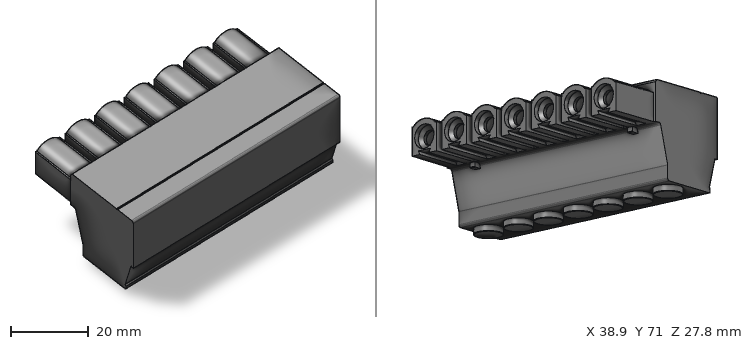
import cadquery as cq
import math

POLES = 7
PITCH = 10.16
BODY_LENGTH = 70.96
BODY_BACK_X = 38.9
BODY_TOP_Z = 27.8
PLUG_LENGTH = 14.65
POLE_POSITIONS = [(i - (POLES - 1) / 2) * PITCH for i in range(POLES)]

BODY_FRONT_X = PLUG_LENGTH
LEDGE_Z = 16.56
BASE_Z = 1.75
BASE_FRONT_X = 19.35
BASE_BACK_X = 36.05
FRONT_SLOPE_TOP_X = 16.45
FRONT_SLOPE_BOTTOM_Z = 5.9
LEDGE_FILLET = 0.8
BACK_STEP_Z = 11.27
BACK_SLOPE_TOP_X = 37.95
LIP_TOP_Z = 2.8
LIP_SLOPE_Z = 3.3
LIP_DEPTH = 0.3
TOP_CHAMFER_HEIGHT = 0.7
TOP_CHAMFER_WIDTH = 0.5
EDGE_FILLET = 0.65
BASE_BACK_FILLET = 0.3

GROOVE_FRONT_X = 32.4
GROOVE_WIDTH = 0.5
GROOVE_DEPTH = 0.25

SHOULDER_Z = 24.34
BORE_Z = 21.18
DOME_HALF_WIDTH = 3.72
DOME_TOP_Z = 25.93
TIP_HALF_WIDTH = 4.16
SIDE_DRAFT = 0.5
ENTRY_RADIUS = 3.25
ENTRY_DEPTH = 1.5
BORE_RADIUS = 2.0
CONE_LENGTH = 0.7
BORE_DEPTH = 3.2
KEYWAY_HEIGHT = 1.04
KEYWAY_TOP_WIDTH = 4.0
KEYWAY_BOTTOM_WIDTH = 3.05

SCREW_X = 25.26
SCREW_RADIUS = 3.87
SCREW_CHAMFER = 0.15

TAB_Y = 26.77
TAB_WIDTH = 1.65
TAB_BOTTOM_Z = 15.15
TAB_BACK_X = 18.0
TAB_CHAMFER = 0.2


def housing():
    profile = (
        cq.Workplane("XZ", origin=(0, BODY_LENGTH / 2, 0))
        .moveTo(BODY_FRONT_X, LEDGE_Z)
        .lineTo(BODY_FRONT_X, BODY_TOP_Z - TOP_CHAMFER_HEIGHT)
        .lineTo(BODY_FRONT_X + TOP_CHAMFER_WIDTH, BODY_TOP_Z)
        .lineTo(BODY_BACK_X, BODY_TOP_Z)
        .lineTo(BODY_BACK_X, BACK_STEP_Z)
        .lineTo(BACK_SLOPE_TOP_X, BACK_STEP_Z)
        .lineTo(BASE_BACK_X - LIP_DEPTH, LIP_SLOPE_Z)
        .lineTo(BASE_BACK_X, LIP_TOP_Z)
        .lineTo(BASE_BACK_X, BASE_Z)
        .lineTo(BASE_FRONT_X, BASE_Z)
        .lineTo(BASE_FRONT_X, FRONT_SLOPE_BOTTOM_Z)
        .lineTo(FRONT_SLOPE_TOP_X, LEDGE_Z)
        .close()
    )
    body = profile.extrude(BODY_LENGTH)
    rounded_corners = [
        (FRONT_SLOPE_TOP_X, LEDGE_Z, LEDGE_FILLET),
        (BODY_BACK_X, BODY_TOP_Z, EDGE_FILLET),
        (BASE_FRONT_X, BASE_Z, EDGE_FILLET),
        (BASE_BACK_X, BASE_Z, BASE_BACK_FILLET),
    ]
    for x, z, radius in rounded_corners:
        corner = cq.selectors.NearestToPointSelector((x, 0, z))
        body = body.edges(corner).fillet(radius)
    return body


def top_groove():
    """Groove with an upright front wall and a floor that rises towards the back."""
    return (
        cq.Workplane("XZ", origin=(0, BODY_LENGTH / 2, 0))
        .moveTo(GROOVE_FRONT_X, BODY_TOP_Z)
        .lineTo(GROOVE_FRONT_X + GROOVE_WIDTH, BODY_TOP_Z)
        .lineTo(GROOVE_FRONT_X, BODY_TOP_Z - GROOVE_DEPTH)
        .close()
        .extrude(BODY_LENGTH)
    )


def along_x(y):
    """Workplane on the plug tip: local x is +Y, local y is +Z, extruding towards +X."""
    return cq.Workplane("YZ", origin=(0, y, 0))


def plug(y):
    root_half_width = TIP_HALF_WIDTH + PLUG_LENGTH * math.tan(math.radians(SIDE_DRAFT))
    block = (
        cq.Workplane("XY", origin=(0, y, LEDGE_Z))
        .polyline([
            (0, -TIP_HALF_WIDTH),
            (PLUG_LENGTH, -root_half_width),
            (PLUG_LENGTH, root_half_width),
            (0, TIP_HALF_WIDTH),
        ])
        .close()
        .extrude(SHOULDER_Z - LEDGE_Z)
    )
    dome = (
        along_x(y)
        .moveTo(-DOME_HALF_WIDTH, SHOULDER_Z)
        .threePointArc((0, DOME_TOP_Z), (DOME_HALF_WIDTH, SHOULDER_Z))
        .close()
        .extrude(PLUG_LENGTH)
    )
    return block.union(dome)


def plug_bore(y):
    cone_end = ENTRY_DEPTH + CONE_LENGTH
    return (
        cq.Workplane("XY")
        .polyline([
            (0, 0),
            (0, ENTRY_RADIUS),
            (ENTRY_DEPTH, ENTRY_RADIUS),
            (cone_end, BORE_RADIUS),
            (BORE_DEPTH, BORE_RADIUS),
            (BORE_DEPTH, 0),
        ])
        .close()
        .revolve(360, (0, 0, 0), (1, 0, 0))
        .translate((0, y, BORE_Z))
    )


def plug_keyway(y):
    """Dovetail slot along the underside of a plug, wider at its roof."""
    return (
        along_x(y)
        .polyline([
            (-KEYWAY_BOTTOM_WIDTH / 2, LEDGE_Z),
            (-KEYWAY_TOP_WIDTH / 2, LEDGE_Z + KEYWAY_HEIGHT),
            (KEYWAY_TOP_WIDTH / 2, LEDGE_Z + KEYWAY_HEIGHT),
            (KEYWAY_BOTTOM_WIDTH / 2, LEDGE_Z),
        ])
        .close()
        .extrude(PLUG_LENGTH)
    )


def screw(y):
    return (
        cq.Workplane("XY", origin=(SCREW_X, y, 0))
        .circle(SCREW_RADIUS)
        .extrude(BASE_Z)
        .faces("<Z")
        .chamfer(SCREW_CHAMFER)
    )


def tab(y):
    """Tab under the ledge, flush with the housing front and buried in its sloping wall."""
    return (
        cq.Workplane("XY")
        .box(TAB_BACK_X - BODY_FRONT_X, TAB_WIDTH, LEDGE_Z - TAB_BOTTOM_Z, centered=(False, True, False))
        .translate((BODY_FRONT_X, y, TAB_BOTTOM_Z))
        .edges("<X and <Z")
        .chamfer(TAB_CHAMFER)
    )


result = housing().cut(top_groove())
for tab_y in (-TAB_Y, TAB_Y):
    result = result.union(tab(tab_y))
for pole_y in POLE_POSITIONS:
    result = result.union(plug(pole_y)).union(screw(pole_y))
    result = result.cut(plug_bore(pole_y)).cut(plug_keyway(pole_y))